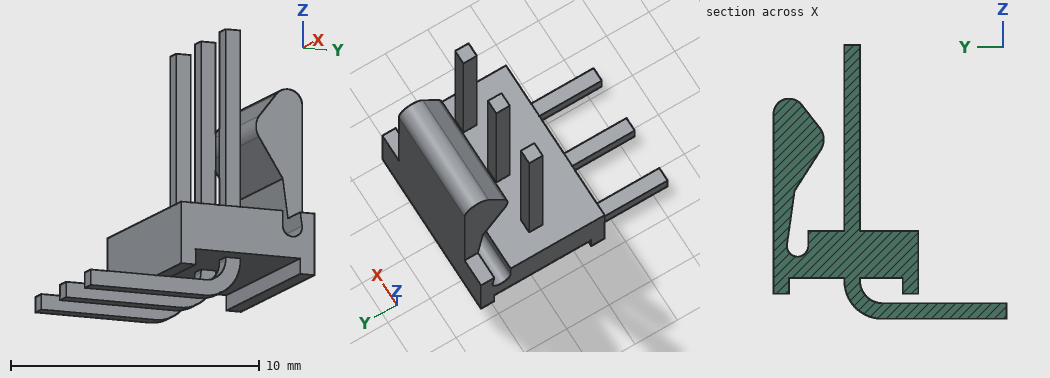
import cadquery as cq
import math


PIN_COUNT = 3
PITCH = 2.54
PIN_SIZE = 0.64
PIN_TOP = 10.04
PIN_BOTTOM = -1.01
BEND_INNER_RADIUS = 0.9

HOUSING_WIDTH = PIN_COUNT * PITCH
HOUSING_DEPTH = 5.842
HOUSING_HEIGHT = 2.54
BACK_Y = 3.175
FRONT_Y = BACK_Y - HOUSING_DEPTH
OVERALL_DEPTH = 9.4
PIN_TIP_Y = BACK_Y - OVERALL_DEPTH
FOOT_SIZE = 0.635

SLOT_RADIUS = 0.425
SLOT_CENTER_Z = 1.93
SLOT_SETBACK = 1.40
SLOT_FRONT_Y = BACK_Y - SLOT_SETBACK
SLOT_CENTER = (SLOT_FRONT_Y + SLOT_RADIUS, SLOT_CENTER_Z)

LATCH_WIDTH = (PIN_COUNT - 1) * PITCH
LATCH_HEIGHT = 7.873
LATCH_DEPTH = 2.032
TIP_RADIUS = 0.635
TIP_CENTER = (BACK_Y - TIP_RADIUS, LATCH_HEIGHT - TIP_RADIUS)
NOSE_RADIUS = 0.762
NOSE_CENTER_Z = 6.22
NOSE_CENTER = (BACK_Y - LATCH_DEPTH + NOSE_RADIUS, NOSE_CENTER_Z)
STEM_TOP_THICKNESS = 0.86
STEM_TOP_Z = 4.16
STEM_TOP = (BACK_Y - STEM_TOP_THICKNESS, STEM_TOP_Z)


def point_on_circle(center, radius, angle):
    """Point in the YZ plane, with the angle measured from +Y towards +Z."""
    return (center[0] + radius * math.cos(angle), center[1] + radius * math.sin(angle))


def tangent_angle(start, start_radius, end, end_radius, side):
    """Direction of the normal to a line touching two circles on the same side.

    side is +1 for the line left of the direction start -> end, -1 for the right.
    A zero radius stands for a plain point.
    """
    heading = math.atan2(end[1] - start[1], end[0] - start[0])
    spread = math.acos((start_radius - end_radius) / math.dist(start, end))
    return heading + side * spread


def extrude_across(profile, width):
    """Extrude a YZ profile symmetrically about X = 0."""
    return profile.extrude(width / 2, both=True)


TIP_ANGLE = tangent_angle(TIP_CENTER, TIP_RADIUS, NOSE_CENTER, NOSE_RADIUS, -1)
NOSE_ANGLE = tangent_angle(NOSE_CENTER, NOSE_RADIUS, STEM_TOP, 0, -1)
STEM_ANGLE = tangent_angle(STEM_TOP, 0, SLOT_CENTER, SLOT_RADIUS, 1)
STEM_BOTTOM = point_on_circle(SLOT_CENTER, SLOT_RADIUS, STEM_ANGLE)
STEM_SLOPE = (STEM_TOP[0] - STEM_BOTTOM[0]) / (STEM_TOP[1] - STEM_BOTTOM[1])
STEM_ROOT = (STEM_BOTTOM[0] + STEM_SLOPE * (HOUSING_HEIGHT - STEM_BOTTOM[1]), HOUSING_HEIGHT)


def make_housing():
    """Block standing on a front and a back foot, with the relief slot cut across it."""
    block = extrude_across(
        cq.Workplane("YZ")
        .moveTo(FRONT_Y, 0)
        .lineTo(FRONT_Y + FOOT_SIZE, 0)
        .lineTo(FRONT_Y + FOOT_SIZE, FOOT_SIZE)
        .lineTo(BACK_Y - FOOT_SIZE, FOOT_SIZE)
        .lineTo(BACK_Y - FOOT_SIZE, 0)
        .lineTo(BACK_Y, 0)
        .lineTo(BACK_Y, HOUSING_HEIGHT)
        .lineTo(FRONT_Y, HOUSING_HEIGHT)
        .close(),
        HOUSING_WIDTH,
    )
    slot = extrude_across(
        cq.Workplane("YZ")
        .moveTo(*STEM_ROOT)
        .lineTo(*STEM_BOTTOM)
        .threePointArc(
            point_on_circle(SLOT_CENTER, SLOT_RADIUS, -math.pi / 2),
            (SLOT_FRONT_Y, SLOT_CENTER_Z),
        )
        .lineTo(SLOT_FRONT_Y, HOUSING_HEIGHT)
        .close(),
        HOUSING_WIDTH,
    )
    return block.cut(slot)


def make_latch():
    """Flexible latch rising from the back edge of the housing."""
    return extrude_across(
        cq.Workplane("YZ")
        .moveTo(BACK_Y, HOUSING_HEIGHT)
        .lineTo(BACK_Y, TIP_CENTER[1])
        .threePointArc(
            point_on_circle(TIP_CENTER, TIP_RADIUS, math.pi / 2),
            point_on_circle(TIP_CENTER, TIP_RADIUS, TIP_ANGLE),
        )
        .lineTo(*point_on_circle(NOSE_CENTER, NOSE_RADIUS, TIP_ANGLE))
        .threePointArc(
            point_on_circle(NOSE_CENTER, NOSE_RADIUS, math.pi),
            point_on_circle(NOSE_CENTER, NOSE_RADIUS, NOSE_ANGLE),
        )
        .lineTo(*STEM_TOP)
        .lineTo(*STEM_ROOT)
        .close(),
        LATCH_WIDTH,
    )


def make_pin(x):
    """Square pin bent a quarter turn from the vertical leg to the horizontal one."""
    bend_radius = BEND_INNER_RADIUS + PIN_SIZE / 2
    leg_z = PIN_BOTTOM + PIN_SIZE / 2
    path = (
        cq.Workplane("YZ", origin=(x, 0, 0))
        .moveTo(0, PIN_TOP)
        .lineTo(0, leg_z + bend_radius)
        .radiusArc((-bend_radius, leg_z), bend_radius)
        .lineTo(PIN_TIP_Y, leg_z)
    )
    return cq.Workplane("XY", origin=(x, 0, PIN_TOP)).rect(PIN_SIZE, PIN_SIZE).sweep(path)


result = make_housing().union(make_latch())
for index in range(PIN_COUNT):
    pin_x = (index - (PIN_COUNT - 1) / 2) * PITCH
    result = result.union(make_pin(pin_x))